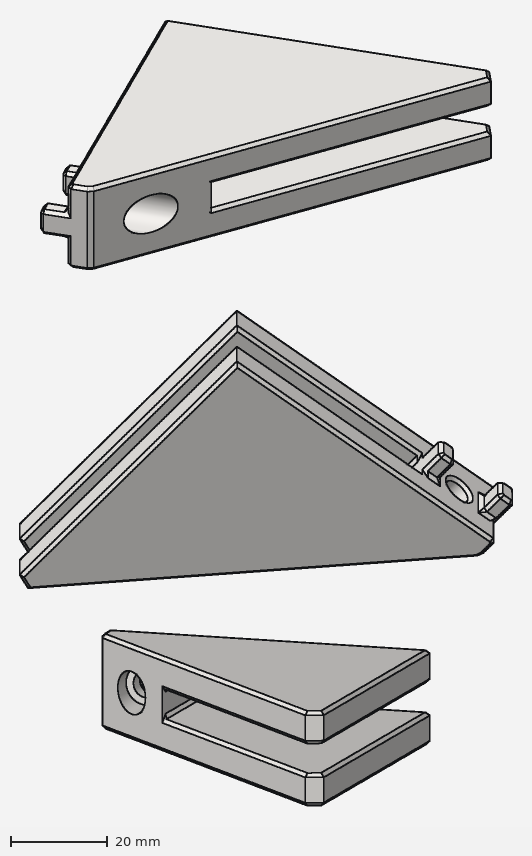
import cadquery as cq

length = 77.45
width = 70.0
thickness = 20.0
chamfer = 0.8

tab_reach = 6.0
hypotenuse_offset = 11.0
tip_cut = (hypotenuse_offset + width - length) * 2**0.5

slot_height = 6.2
slot_start = 20.0

bolt_y = slot_start / 2
bolt_diameter = 5.8
head_diameter = 9.0
bolt_wall = 5.0

tab_width = 4.0
tab_height = 5.8
flare = 0.85
flare_corner_bevel = 0.04
tab_overlap = 1.55


def make_body():
    """Triangular plate with a clipped tip and a chamfered outline."""
    body = (
        cq.Workplane("XY")
        .workplane(offset=-thickness / 2)
        .moveTo(tab_reach, 0)
        .lineTo(hypotenuse_offset, 0)
        .lineTo(length, length - hypotenuse_offset)
        .lineTo(hypotenuse_offset + width - tip_cut, width)
        .lineTo(tab_reach, width)
        .close()
        .extrude(thickness)
    )
    near_corners = cq.selectors.BoxSelector(
        (0, -chamfer, -thickness), (hypotenuse_offset + chamfer, chamfer, thickness)
    )
    body = body.edges("|Z").edges(near_corners).chamfer(chamfer)
    return body.faces("|Z").edges().chamfer(chamfer)


def cut_slot(body):
    """Split the plate into two leaves and chamfer the leaves' inner edges."""
    slot = cq.Workplane("XY").box(length, width, slot_height, centered=(False, False, True))
    body = body.cut(slot.translate((0, slot_start, 0)))
    inner_faces = cq.selectors.BoxSelector(
        (0, slot_start + chamfer, -slot_height / 2 - chamfer),
        (length, width, slot_height / 2 + chamfer),
    )
    leaf_faces = body.faces("|Z").faces(inner_faces)
    body = leaf_faces.edges("not(|X and (<Y))").chamfer(chamfer)
    closed_end_corners = cq.selectors.BoxSelector(
        (0, slot_start - chamfer / 2, -slot_height / 2 - chamfer / 2),
        (length, slot_start + chamfer / 2, slot_height / 2 + chamfer / 2),
    )
    return body.edges("|X").edges(closed_end_corners).chamfer(chamfer)


def tab_section(growth, flare_side, flush_bevel, flare_bevel):
    """Corners of a tab section, grown in Z and on its flare side, with bevelled corners.

    The flush side lies on Y = 0 and the section extends towards flare_side.
    """
    top = tab_height / 2 + growth
    side = tab_width + growth
    upper_half = [
        (0, top - flush_bevel),
        (flush_bevel, top),
        (side - flare_bevel, top),
        (side, top - flare_bevel),
    ]
    lower_half = [(y, -z) for y, z in reversed(upper_half)]
    return [(flare_side * y, z) for y, z in upper_half + lower_half]


def make_tab(flush_y, flare_side):
    """Chamfered tab with one flush side; its base flares in Z and towards flare_side."""
    tab = (
        cq.Workplane("YZ")
        .polyline(tab_section(0, flare_side, chamfer, chamfer))
        .close()
        .extrude(tab_reach + tab_overlap)
        .faces("<X")
        .edges()
        .chamfer(chamfer)
    )
    base = (
        cq.Workplane("YZ")
        .workplane(offset=tab_reach - flare)
        .polyline(tab_section(0, flare_side, chamfer, chamfer))
        .close()
        .workplane(offset=flare)
        .polyline(tab_section(flare, flare_side, chamfer + flare, flare_corner_bevel))
        .close()
        .loft(ruled=True)
    )
    return tab.union(base).translate((0, flush_y, 0))


def cut_bolt_hole(body):
    """Through hole with a countersunk -X mouth and a head bore from the 45 degree side."""
    axis = cq.Workplane("YZ").center(bolt_y, 0)
    shank = axis.circle(bolt_diameter / 2).extrude(length)
    head = axis.workplane(offset=tab_reach + bolt_wall).circle(head_diameter / 2).extrude(length)
    mouth = (
        axis.workplane(offset=tab_reach)
        .circle(bolt_diameter / 2 + chamfer)
        .workplane(offset=chamfer)
        .circle(bolt_diameter / 2)
        .loft(ruled=True)
    )
    return body.cut(shank.union(head).union(mouth))


body = cut_bolt_hole(cut_slot(make_body()))
body = body.union(make_tab(0, 1))
result = body.union(make_tab(slot_start, -1))